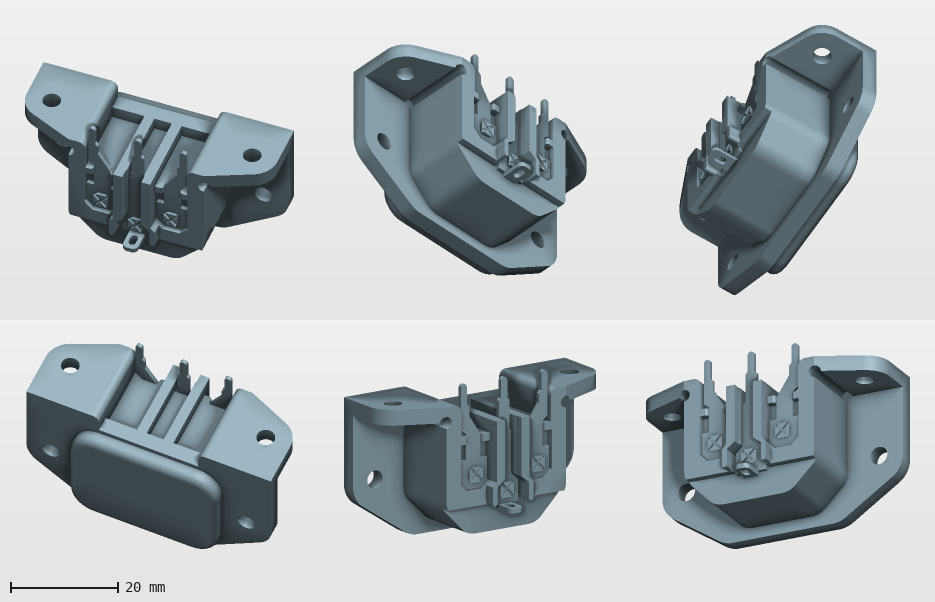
import cadquery as cq


HALF_WIDTH = 25.0
HEIGHT = 28.0
PLATE_THICKNESS = 3.0
PLATE_CORNER_RADIUS = 5.0
FLANGE_SLOPE_TOP = 8.65
FLANGE_BOTTOM_HALF = 11.9
TOP_PLATE_SLOPE_START = -12.05
MOUNT_HOLE_DIAMETER = 3.5
MOUNT_HOLE_X = 20.0
FLANGE_HOLE_Z = 12.0
TOP_PLATE_HOLE_Y = -8.8

SNOUT_WIDTH = 30.0
SNOUT_HEIGHT = 22.0
SNOUT_DEPTH = 3.0
SNOUT_CENTRE_Z = 12.25
SNOUT_CORNER_RADIUS = 5.0
SNOUT_EDGE_RADIUS = 1.5

BODY_HALF = 13.5
BODY_BOTTOM_HALF = 7.75
BODY_BOTTOM = 2.25
BODY_SHELF = 8.0
BODY_SIDE_RADIUS = 3.5
BODY_BOTTOM_RADIUS = 4.0
BODY_REAR = -17.1
SEAT_Y = -15.6
RELIEF_RADIUS = 1.15

GAP_HALF = 10.15
GAP_FLOOR = 24.25
GAP_EDGE_RADIUS = 1.4
TROUGH_FLOOR = 21.65

WALL_REAR = -19.35
WALL_INNER = 1.75
WALL_OUTER = 3.7
WALL_STEP_Y = -17.5
WALL_STEP = 0.15
WALL_FOOT_INNER = 3.55
WALL_FOOT_OUTER = 4.55
WALL_JOG_TOP = 12.55
CHANNEL_JOG_TOP = 13.0
CHANNEL_JOG_BOTTOM = 11.55
WALL_FOOT_RADIUS = 0.45

SHEET = 0.8
TERMINAL_REAR = SEAT_Y - SHEET
TERMINAL_TOP = 31.7

LINE_PITCH_HALF = 7.0
LINE_FOOT_HALF = 3.15
LINE_NECK_HALF = 1.65
LINE_FOOT_TOP = 17.0
LINE_FOOT_BOTTOM = 11.25
LINE_FOOT_CHAMFER = 1.45
LINE_POST_OUTER = 2.75
LINE_POST_INNER = 0.9
LINE_POST_WIDTH = 1.3
LINE_POST_CHAMFER = 0.55
LINE_SHOULDER = 27.3
LINE_SLOPE_TOP = 25.4
LINE_SLOPE_BOTTOM = 21.45
LINE_POST_BOTTOM = 22.85
LINE_NECK_TOP = 22.0

POCKET_HALF = LINE_PITCH_HALF - WALL_OUTER
POCKET_TOP = 20.2
POCKET_FLOOR_GAP = 0.3
HOOK_GAP = 0.05
HOOK_RADIUS = 0.55

EARTH_STRIP_HALF = 1.6
EARTH_STRIP_TOP = 21.55
EARTH_STRIP_CHAMFER = 0.35
EARTH_FOOT_HALF = 3.1
EARTH_FOOT_TOP = 11.55
EARTH_JOG_TOP = 13.05
EARTH_POST_HALF = 1.15
EARTH_POST_TOP = 27.25
EARTH_PRONG_HALF = 0.7
EARTH_SHOULDER = 0.4
EARTH_BOTTOM = 7.4
LUG_HALF = 1.5
LUG_THICKNESS = 0.95
LUG_REAR = -20.8
LUG_CORNER_RADIUS = 1.1
LUG_BEND = 0.65
SLOT_WIDTH = 1.45
SLOT_FRONT = -17.3
SLOT_REAR = -19.8

LINE_PIN_Z = 14.15
EARTH_PIN_Z = 10.2
PIN_SHANK = 2.2
PIN_HEAD = 3.05
PIN_HEAD_HEIGHT = 1.0
PIN_CHAMFER = 0.3
PIN_GROOVE_WIDTH = 0.55
PIN_GROOVE_DEPTH = 0.45


def box(x0, x1, y0, y1, z0, z1):
    """Block between two opposite corners."""
    return cq.Workplane("XY").box(x1 - x0, y1 - y0, z1 - z0, centered=False).translate((x0, y0, z0))


def rearward(y_front, y_rear, points):
    """Closed (x, z) outline extruded from y_front back to y_rear."""
    return cq.Workplane("XZ", origin=(0, y_front, 0)).polyline(points).close().extrude(y_front - y_rear)


def mirrored(half):
    """Full outline from the points of its right half, listed top to bottom."""
    return half + [(-x, z) for x, z in reversed(half)]


def both_sides(shape):
    """The shape and its mirror image across X = 0, as one workplane."""
    return shape.union(shape.mirror("YZ"))


def round_edges(shape, direction, x, other, other_axis, radius):
    """Round the edges along `direction` that pass through (+-x, other)."""
    span = 2 * HALF_WIDTH
    tolerance = 0.05
    for side in (-1, 1):
        low = {"X": side * x - tolerance, "Y": -span, "Z": -span}
        high = {"X": side * x + tolerance, "Y": span, "Z": span}
        low[other_axis] = other - tolerance
        high[other_axis] = other + tolerance
        near = cq.selectors.BoxSelector(tuple(low.values()), tuple(high.values()), boundingbox=True)
        shape = shape.newObject(shape.edges("|" + direction).edges(near).vals()).fillet(radius)
    return shape


def flange():
    outline = mirrored([(HALF_WIDTH, HEIGHT), (HALF_WIDTH, FLANGE_SLOPE_TOP), (FLANGE_BOTTOM_HALF, 0)])
    plate = rearward(0, -PLATE_THICKNESS, outline)
    plate = round_edges(plate, "Y", HALF_WIDTH, FLANGE_SLOPE_TOP, "Z", PLATE_CORNER_RADIUS)
    return round_edges(plate, "Y", FLANGE_BOTTOM_HALF, 0, "Z", PLATE_CORNER_RADIUS)


def top_plates():
    outline = mirrored([(HALF_WIDTH, 0), (HALF_WIDTH, TOP_PLATE_SLOPE_START), (BODY_HALF, BODY_REAR)])
    plate = cq.Workplane("XY").workplane(offset=HEIGHT - PLATE_THICKNESS)
    plate = plate.polyline(outline).close().extrude(PLATE_THICKNESS)
    return round_edges(plate, "Z", HALF_WIDTH, TOP_PLATE_SLOPE_START, "Y", PLATE_CORNER_RADIUS)


def snout():
    block = cq.Workplane("XZ", origin=(0, 0, SNOUT_CENTRE_Z)).rect(SNOUT_WIDTH, SNOUT_HEIGHT)
    block = block.extrude(-SNOUT_DEPTH).edges("|Y").fillet(SNOUT_CORNER_RADIUS)
    return block.faces(">Y").edges().fillet(SNOUT_EDGE_RADIUS)


def body():
    outline = mirrored([(BODY_HALF, HEIGHT), (BODY_HALF, BODY_SHELF), (BODY_BOTTOM_HALF, BODY_BOTTOM)])
    block = rearward(0, BODY_REAR, outline)
    block = round_edges(block, "Y", BODY_HALF, BODY_SHELF, "Z", BODY_SIDE_RADIUS)
    block = round_edges(block, "Y", BODY_BOTTOM_HALF, BODY_BOTTOM, "Z", BODY_BOTTOM_RADIUS)
    return block.cut(box(-BODY_HALF, BODY_HALF, BODY_REAR, SEAT_Y, 0, BODY_SHELF))


def wall_feet():
    """Rear ends of the two dividing walls, with the stepped-out rounded feet."""
    jog = WALL_FOOT_OUTER - WALL_OUTER
    foot = rearward(SEAT_Y, WALL_REAR, [
        (WALL_INNER, GAP_FLOOR),
        (WALL_OUTER, GAP_FLOOR),
        (WALL_OUTER, WALL_JOG_TOP),
        (WALL_FOOT_OUTER, WALL_JOG_TOP - jog),
        (WALL_FOOT_OUTER, BODY_SHELF),
        (WALL_FOOT_INNER, BODY_SHELF),
        (WALL_FOOT_INNER, CHANNEL_JOG_BOTTOM),
        (WALL_INNER, CHANNEL_JOG_TOP),
    ])
    foot = foot.faces("<Z").edges("|Y").fillet(WALL_FOOT_RADIUS)
    foot = foot.cut(box(WALL_OUTER, WALL_FOOT_OUTER, BODY_REAR, SEAT_Y, BODY_SHELF, WALL_JOG_TOP))
    step_outer = WALL_INNER + WALL_STEP
    foot = foot.cut(box(WALL_INNER, step_outer, WALL_REAR, WALL_STEP_Y, CHANNEL_JOG_BOTTOM, GAP_FLOOR))
    return both_sides(foot)


def troughs():
    """Three open troughs behind the flange, separated by the dividing walls."""
    middle = box(-WALL_INNER, WALL_INNER, BODY_REAR, -PLATE_THICKNESS, TROUGH_FLOOR, GAP_FLOOR)
    outer = box(WALL_OUTER, GAP_HALF, BODY_REAR, -PLATE_THICKNESS, TROUGH_FLOOR, GAP_FLOOR)
    return middle.union(both_sides(outer))


def line_pocket():
    """Recess for a line terminal: a foot pocket, and a neck slot between two rounded hooks."""
    bottom = LINE_FOOT_BOTTOM - POCKET_FLOOR_GAP
    corner = POCKET_HALF - (WALL_JOG_TOP - bottom)
    outline = mirrored([(POCKET_HALF, POCKET_TOP), (POCKET_HALF, WALL_JOG_TOP), (corner, bottom)])
    pocket = rearward(SEAT_Y, BODY_REAR, outline)
    slot_half = LINE_NECK_HALF + HOOK_GAP
    slot = box(-slot_half, slot_half, BODY_REAR, SEAT_Y, POCKET_TOP, TROUGH_FLOOR)
    flare_half = slot_half + HOOK_RADIUS
    flare_front = BODY_REAR + HOOK_RADIUS
    flare = box(-flare_half, flare_half, BODY_REAR, flare_front, POCKET_TOP, TROUGH_FLOOR)
    for side in (-1, 1):
        hook = cq.Workplane("XY", origin=(side * flare_half, flare_front, POCKET_TOP))
        flare = flare.cut(hook.circle(HOOK_RADIUS).extrude(TROUGH_FLOOR - POCKET_TOP))
    return pocket.union(slot).union(flare).translate((LINE_PITCH_HALF, 0, 0))


def earth_channel():
    """Channel for the earth terminal, open at the rear and at the shelf."""
    return rearward(SEAT_Y, BODY_REAR, mirrored([
        (WALL_INNER, GAP_FLOOR),
        (WALL_INNER, CHANNEL_JOG_TOP),
        (WALL_FOOT_INNER, CHANNEL_JOG_BOTTOM),
        (WALL_FOOT_INNER, BODY_SHELF),
    ]))


def mounting_holes():
    radius = MOUNT_HOLE_DIAMETER / 2
    through_flange = cq.Workplane("XZ", origin=(MOUNT_HOLE_X, 0, FLANGE_HOLE_Z))
    through_flange = through_flange.circle(radius).extrude(PLATE_THICKNESS)
    through_top = cq.Workplane("XY", origin=(MOUNT_HOLE_X, TOP_PLATE_HOLE_Y, HEIGHT))
    through_top = through_top.circle(radius).extrude(-PLATE_THICKNESS)
    return both_sides(through_flange.union(through_top))


def corner_reliefs():
    """Round grooves where the body meets the undersides of the top plates."""
    relief = cq.Workplane("XZ", origin=(BODY_HALF, -PLATE_THICKNESS, HEIGHT - PLATE_THICKNESS))
    return both_sides(relief.circle(RELIEF_RADIUS).extrude(-PLATE_THICKNESS - BODY_REAR))


def make_housing():
    shell = flange().union(top_plates()).union(body())
    shell = shell.cut(box(-GAP_HALF, GAP_HALF, BODY_REAR, 0, GAP_FLOOR, HEIGHT))
    shell = round_edges(shell, "Y", GAP_HALF, HEIGHT, "Z", GAP_EDGE_RADIUS)
    shell = shell.cut(corner_reliefs()).cut(mounting_holes())
    shell = shell.cut(troughs()).cut(both_sides(line_pocket())).cut(earth_channel())
    return shell.union(snout()).union(wall_feet())


def shank_hole(x, z):
    return cq.Workplane("XZ", origin=(x, SEAT_Y, z)).rect(PIN_SHANK, PIN_SHANK).extrude(SHEET)


def make_line_terminal(side):
    """Flat line terminal on the +X (side 1) or -X (side -1) pin."""
    foot_side_bottom = LINE_FOOT_BOTTOM + LINE_FOOT_CHAMFER
    foot_flat = LINE_FOOT_HALF - LINE_FOOT_CHAMFER
    prong_inner = LINE_POST_OUTER - LINE_POST_WIDTH
    tip_radius = LINE_POST_WIDTH / 2
    tip_start = TERMINAL_TOP - tip_radius
    sheet = (
        cq.Workplane("XZ", origin=(0, SEAT_Y, 0))
        .moveTo(LINE_POST_OUTER, tip_start)
        .lineTo(LINE_POST_OUTER, LINE_POST_BOTTOM)
        .lineTo(LINE_NECK_HALF, LINE_NECK_TOP)
        .lineTo(LINE_NECK_HALF, LINE_FOOT_TOP)
        .lineTo(LINE_FOOT_HALF, LINE_FOOT_TOP)
        .lineTo(LINE_FOOT_HALF, foot_side_bottom)
        .lineTo(foot_flat, LINE_FOOT_BOTTOM)
        .lineTo(-foot_flat, LINE_FOOT_BOTTOM)
        .lineTo(-LINE_FOOT_HALF, foot_side_bottom)
        .lineTo(-LINE_FOOT_HALF, LINE_FOOT_TOP)
        .lineTo(-LINE_NECK_HALF, LINE_FOOT_TOP)
        .lineTo(-LINE_NECK_HALF, LINE_SLOPE_BOTTOM)
        .lineTo(LINE_POST_INNER, LINE_SLOPE_TOP)
        .lineTo(LINE_POST_INNER, LINE_SHOULDER)
        .lineTo(prong_inner, LINE_SHOULDER + LINE_POST_CHAMFER)
        .lineTo(prong_inner, tip_start)
        .threePointArc((prong_inner + tip_radius, TERMINAL_TOP), (LINE_POST_OUTER, tip_start))
        .close()
        .extrude(SHEET)
        .translate((LINE_PITCH_HALF, 0, 0))
    )
    sheet = sheet.cut(shank_hole(LINE_PITCH_HALF, LINE_PIN_Z))
    return sheet if side > 0 else sheet.mirror("YZ")


def earth_lug():
    """Slotted solder lug bent rearward from the foot of the earth terminal."""
    lug = box(-LUG_HALF, LUG_HALF, LUG_REAR, SEAT_Y, EARTH_BOTTOM - LUG_THICKNESS, EARTH_BOTTOM)
    lug = lug.faces("<Y").edges("|Z").fillet(LUG_CORNER_RADIUS)
    lug = lug.faces(">Y").edges("<Z").fillet(LUG_BEND)
    slot = cq.Workplane("XY", origin=(0, (SLOT_FRONT + SLOT_REAR) / 2, EARTH_BOTTOM))
    slot = slot.slot2D(SLOT_FRONT - SLOT_REAR, SLOT_WIDTH, 90).extrude(-LUG_THICKNESS)
    return lug.cut(slot)


def make_earth_terminal():
    tip_start = TERMINAL_TOP - EARTH_PRONG_HALF
    half = [
        (EARTH_PRONG_HALF, EARTH_POST_TOP + EARTH_SHOULDER),
        (EARTH_POST_HALF, EARTH_POST_TOP),
        (EARTH_POST_HALF, EARTH_STRIP_TOP),
        (EARTH_STRIP_HALF - EARTH_STRIP_CHAMFER, EARTH_STRIP_TOP),
        (EARTH_STRIP_HALF, EARTH_STRIP_TOP - EARTH_STRIP_CHAMFER),
        (EARTH_STRIP_HALF, EARTH_JOG_TOP),
        (EARTH_FOOT_HALF, EARTH_FOOT_TOP),
        (EARTH_FOOT_HALF, EARTH_BOTTOM),
    ]
    sheet = (
        cq.Workplane("XZ", origin=(0, SEAT_Y, 0))
        .polyline([(EARTH_PRONG_HALF, tip_start)] + mirrored(half) + [(-EARTH_PRONG_HALF, tip_start)])
        .threePointArc((0, TERMINAL_TOP), (EARTH_PRONG_HALF, tip_start))
        .close()
        .extrude(SHEET)
    )
    return sheet.union(earth_lug()).cut(shank_hole(0, EARTH_PIN_Z))


def make_pin(x, z):
    """Pin end: a square shank through the terminal and a flared, cross-grooved rivet head."""
    shank = cq.Workplane("XZ", origin=(0, SEAT_Y, 0)).rect(PIN_SHANK, PIN_SHANK).extrude(SHEET)
    head = cq.Workplane("XZ", origin=(0, TERMINAL_REAR, 0)).rect(PIN_SHANK, PIN_SHANK)
    head = head.workplane(offset=PIN_HEAD_HEIGHT).rect(PIN_HEAD, PIN_HEAD).loft(ruled=True)
    head = head.edges("not(|X or |Z)").chamfer(PIN_CHAMFER)
    groove_bottom = TERMINAL_REAR - PIN_HEAD_HEIGHT + PIN_GROOVE_DEPTH
    for angle in (45, -45):
        groove = cq.Workplane("XZ", origin=(0, groove_bottom, 0)).transformed(rotate=(0, 0, angle))
        head = head.cut(groove.rect(2 * PIN_HEAD, PIN_GROOVE_WIDTH).extrude(PIN_GROOVE_DEPTH))
    return shank.union(head).translate((x, 0, z))


housing = make_housing()
line_terminals = [make_line_terminal(side) for side in (-1, 1)]
earth_terminal = make_earth_terminal()
pin_places = [(-LINE_PITCH_HALF, LINE_PIN_Z), (0, EARTH_PIN_Z), (LINE_PITCH_HALF, LINE_PIN_Z)]
pins = [make_pin(x, z) for x, z in pin_places]

result = cq.Compound.makeCompound([
    housing.solids().val(),
    *[terminal.solids().val() for terminal in line_terminals],
    earth_terminal.solids().val(),
    *[pin.solids().val() for pin in pins],
])